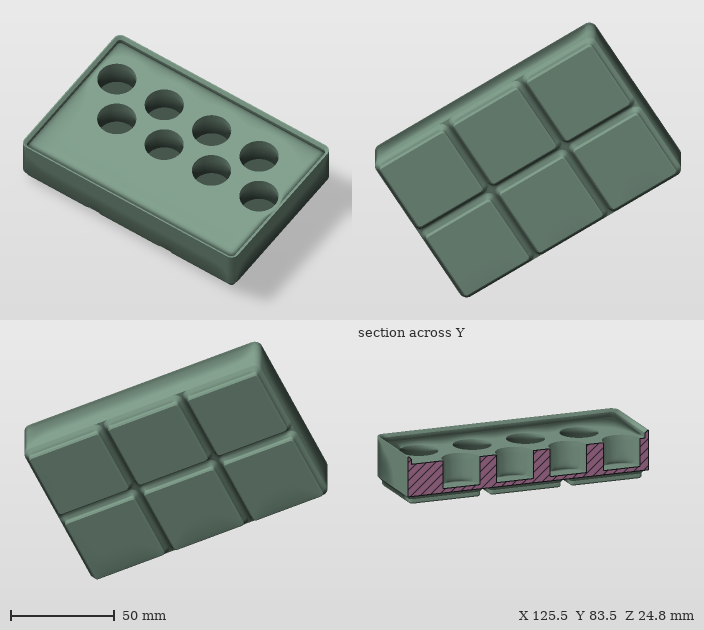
import cadquery as cq

cells_x = 3
cells_y = 2
pitch = 42.0
length = 125.5
width = length - pitch
height = 24.8
cell_gap = cells_x * pitch - length
corner_radius = 3.8
flare_taper = -45

foot_low_chamfer = 0.8
foot_band = 1.8
foot_high_chamfer = 2.1
foot_height = foot_low_chamfer + foot_band + foot_high_chamfer

lip_height = 3.8
rim_width = 0.5
lip_chamfer = 1.4
lip_wall = lip_height - lip_chamfer
floor_z = height - lip_height

hole_diameter = 19.0
hole_depth = 14.0
holes_per_row = 4
hole_pitch = 27.9
row_spacing = 20.2
stagger = hole_pitch / 2


def inset_slab(size_x, size_y, inset, base_z, thickness, taper=0):
    """Slab set inside a rounded rectangle by a constant inset; a negative taper widens it upwards."""
    outline = (
        cq.Sketch()
        .rect(size_x - 2 * inset, size_y - 2 * inset)
        .vertices()
        .fillet(corner_radius - inset)
    )
    return cq.Workplane("XY", origin=(0, 0, base_z)).placeSketch(outline).extrude(thickness, taper=taper)


def foot():
    cell = pitch - cell_gap
    band_z = foot_low_chamfer
    flare_z = band_z + foot_band
    low_inset = foot_high_chamfer + foot_low_chamfer
    bottom = inset_slab(cell, cell, low_inset, 0, foot_low_chamfer, taper=flare_taper)
    band = inset_slab(cell, cell, foot_high_chamfer, band_z, foot_band)
    flare = inset_slab(cell, cell, foot_high_chamfer, flare_z, foot_high_chamfer, taper=flare_taper)
    return bottom.union(band).union(flare)


def lip_recess():
    wall_inset = rim_width + lip_chamfer
    straight = inset_slab(length, width, wall_inset, floor_z, lip_wall)
    flare = inset_slab(length, width, wall_inset, floor_z + lip_wall, lip_chamfer, taper=flare_taper)
    return straight.union(flare)


def socket_holes():
    first_x = -((holes_per_row - 1) * hole_pitch + stagger) / 2
    back_row = [(first_x + i * hole_pitch, row_spacing) for i in range(holes_per_row)]
    middle_row = [(x + stagger, 0) for x, _ in back_row]
    return (
        cq.Workplane("XY", origin=(0, 0, floor_z))
        .pushPoints(back_row + middle_row)
        .circle(hole_diameter / 2)
        .extrude(-hole_depth)
    )


def feet():
    first_x = -(cells_x - 1) * pitch / 2
    first_y = -(cells_y - 1) * pitch / 2
    centers = [
        (first_x + column * pitch, first_y + row * pitch, 0)
        for column in range(cells_x)
        for row in range(cells_y)
    ]
    return [foot().translate(center) for center in centers]


result = inset_slab(length, width, 0, foot_height, height - foot_height)
for block_foot in feet():
    result = result.union(block_foot)
result = result.cut(lip_recess()).cut(socket_holes())